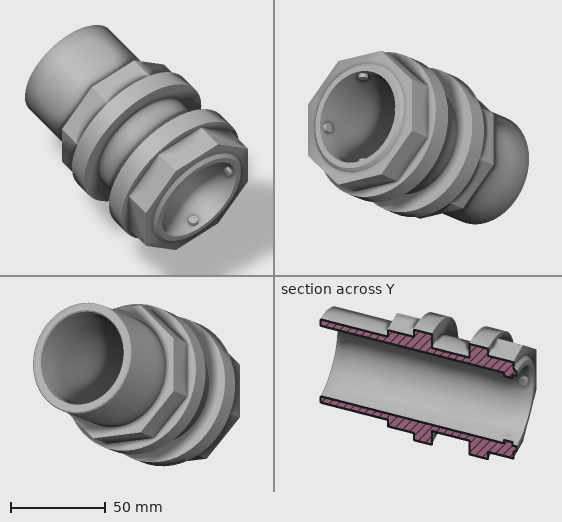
import cadquery as cq

length = 111.0
tube_diameter = 59.6
bore_diameter = 50.0
mouth_diameter = 51.3
entry_chamfer = 0.7
exit_chamfer = 1.8

flange_diameter = 79.0
across_flats = 68.8
front_nut_start = 38.0
front_flange_start = 52.7
front_flange_end = 63.0
rear_flange_start = 84.0
rear_flange_end = 94.8
rear_nut_end = 109.1

pin_count = 4
pin_diameter = 5.0
pin_tip_radius = 22.6
pin_x = length - pin_diameter
pin_root_radius = (bore_diameter + tube_diameter) / 4


def disc(start, end, diameter):
    """Solid cylinder along X between two stations."""
    return cq.Workplane("YZ", origin=(start, 0, 0)).circle(diameter / 2).extrude(end - start)


def octagon(start, end):
    """Octagonal prism along X with flats facing Y and Z."""
    return (
        cq.Workplane("YZ", origin=(start, 0, 0))
        .polygon(8, across_flats, circumscribed=True)
        .extrude(end - start)
    )


def guide_pin(angle):
    """Radial pin reaching from inside the tube wall into the bore."""
    pin = (
        cq.Workplane("XY", origin=(pin_x, 0, pin_tip_radius))
        .circle(pin_diameter / 2)
        .extrude(pin_root_radius - pin_tip_radius)
    )
    return pin.rotate((0, 0, 0), (1, 0, 0), angle)


tube = (
    disc(0, length, tube_diameter)
    .faces("<X").chamfer(entry_chamfer)
    .faces(">X").chamfer(exit_chamfer)
)

body = (
    tube
    .union(octagon(front_nut_start, front_flange_start))
    .union(disc(front_flange_start, front_flange_end, flange_diameter))
    .union(disc(rear_flange_start, rear_flange_end, flange_diameter))
    .union(octagon(rear_flange_end, rear_nut_end))
)

mouth_chamfer = (mouth_diameter - bore_diameter) / 2
mouth = cq.Workplane("YZ").circle(mouth_diameter / 2).extrude(mouth_chamfer, taper=45)
result = body.cut(disc(0, length, bore_diameter)).cut(mouth)

for index in range(pin_count):
    result = result.union(guide_pin(index * 360 / pin_count))